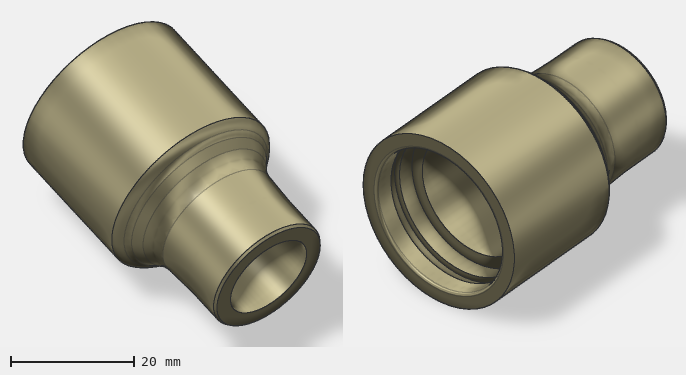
import cadquery as cq

LENGTH = 45.2
BARREL_END = 24.05
ROUND_MIDDLE = 24.8
ROUND_END = 25.45
HOLLOW_MIDDLE = 25.85
CONE_START = 26.35
CONE_END = 27.9
NECK_START = 31.38

BARREL_RADIUS = 32.0 / 2
ROUND_MIDDLE_RADIUS = 15.4
ROUND_END_RADIUS = 14.55
HOLLOW_MIDDLE_RADIUS = 14.05
CONE_START_RADIUS = 13.7
CONE_END_RADIUS = 12.52
NECK_RADIUS = 11.1
TIP_RADIUS = 10.8
TIP_CHAMFER = 0.3
TIP_CHAMFER_LENGTH = 0.5

CONE_DIRECTION = (CONE_END - CONE_START, CONE_END_RADIUS - CONE_START_RADIUS)
NECK_DIRECTION = (1, -0.07)
TIP_DIRECTION = (1, 0)

SOCKET_RADIUS = 26.4 / 2
SOCKET_DEPTH = 9.05
MOUTH_ROUND = 0.5
GROOVE_RADIUS = 28.5 / 2
GROOVE_START = 3.7
GROOVE_END = 5.88

WIDE_BORE_RADIUS = 22.0 / 2
NARROW_BORE_RADIUS = 15.45 / 2
THROAT_START = BARREL_END
THROAT_MIDDLE = CONE_END
THROAT_MIDDLE_RADIUS = (WIDE_BORE_RADIUS + NARROW_BORE_RADIUS) / 2
THROAT_END = NECK_START

AXIS_START = (0, 0, 0)
AXIS_END = (1, 0, 0)


def revolve_about_x(profile):
    return profile.revolve(360, AXIS_START, AXIS_END)


def outer_body():
    profile = (
        cq.Workplane("XY")
        .lineTo(0, BARREL_RADIUS)
        .lineTo(BARREL_END, BARREL_RADIUS)
        .threePointArc((ROUND_MIDDLE, ROUND_MIDDLE_RADIUS), (ROUND_END, ROUND_END_RADIUS))
        .threePointArc((HOLLOW_MIDDLE, HOLLOW_MIDDLE_RADIUS), (CONE_START, CONE_START_RADIUS))
        .lineTo(CONE_END, CONE_END_RADIUS)
        .spline([(NECK_START, NECK_RADIUS)], tangents=[CONE_DIRECTION, NECK_DIRECTION], includeCurrent=True)
        .spline(
            [(LENGTH - TIP_CHAMFER_LENGTH, TIP_RADIUS)],
            tangents=[NECK_DIRECTION, TIP_DIRECTION],
            includeCurrent=True,
        )
        .lineTo(LENGTH, TIP_RADIUS - TIP_CHAMFER)
        .lineTo(LENGTH, 0)
        .close()
    )
    return revolve_about_x(profile)


def inner_cavity():
    profile = (
        cq.Workplane("XY")
        .lineTo(0, SOCKET_RADIUS + MOUTH_ROUND)
        .radiusArc((MOUTH_ROUND, SOCKET_RADIUS), -MOUTH_ROUND)
        .lineTo(GROOVE_START, SOCKET_RADIUS)
        .lineTo(GROOVE_START, GROOVE_RADIUS)
        .lineTo(GROOVE_END, GROOVE_RADIUS)
        .lineTo(GROOVE_END, SOCKET_RADIUS)
        .lineTo(SOCKET_DEPTH, SOCKET_RADIUS)
        .lineTo(SOCKET_DEPTH, WIDE_BORE_RADIUS)
        .lineTo(THROAT_START, WIDE_BORE_RADIUS)
        .tangentArcPoint((THROAT_MIDDLE, THROAT_MIDDLE_RADIUS), relative=False)
        .tangentArcPoint((THROAT_END, NARROW_BORE_RADIUS), relative=False)
        .lineTo(LENGTH, NARROW_BORE_RADIUS)
        .lineTo(LENGTH, 0)
        .close()
    )
    return revolve_about_x(profile)


result = outer_body().cut(inner_cavity())